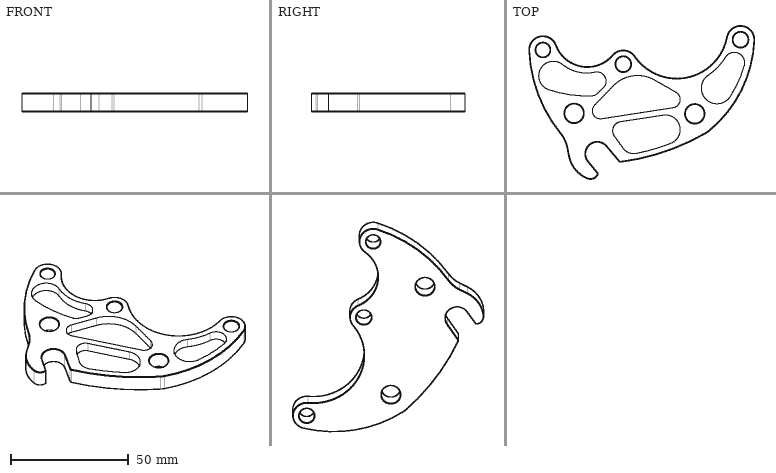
import cadquery as cq
import math

THICKNESS = 8.0
POCKET_DEPTH = 4.5
EDGE_CHAMFER = 0.3

HOLE_DIAMETER = 8.0
LEFT_HOLE = (0.0, 0.0)
RIGHT_HOLE = (51.3, -0.2)

LUG_RADIUS = 6.0
LEFT_LUG = (-13.25, 26.95)
MIDDLE_LUG = (20.9, 20.9)
RIGHT_LUG = (70.77, 31.3)
LEFT_LUG_HOLE_DIAMETER = 6.0
LUG_HOLE_DIAMETER = 6.4

LEFT_SCALLOP_RADIUS = 14.1
RIGHT_SCALLOP_RADIUS = 21.6
LEFT_EDGE_RADIUS = 60.0
RIGHT_EDGE_RADIUS = 52.7
BOTTOM_EDGE_RADIUS = 97.0
RIGHT_CORNER = (51.05, 0.15)
RIGHT_CORNER_RADIUS = 10.0
BOTTOM_CORNER = (19.8, -19.76)
BOTTOM_CORNER_RADIUS = 1.0

SLOT_CENTER = (9.85, -17.2)
SLOT_RADIUS = 4.95
NECK_CENTER = (-15.8, -17.0)
NECK_RADIUS = 13.0
HOOK_CENTER = (10.4, -15.75)
HOOK_RADIUS = 12.95
HOOK_TIP_RADIUS = 3.5
LIP_CENTER = (9.62, -25.75)
LIP_RADIUS = 0.6

SCALLOP_WALL = 2.35

SLOPE_DECIMALS = 9
SAME_POINT = 1e-6


def toward(point, angle, distance):
    """Point at a distance from another one, in the direction of an angle in radians."""
    return (point[0] + distance * math.cos(angle), point[1] + distance * math.sin(angle))


def direction(start, end):
    """Angle in radians of the direction from one point to another."""
    return math.atan2(end[1] - start[1], end[0] - start[0])


def linking_round(first, second, radius):
    """Round of a signed radius that runs tangent from one round into the next."""
    (start, start_radius), (end, end_radius) = first, second
    to_start = abs(radius - start_radius)
    to_end = abs(radius - end_radius)
    span = math.dist(start, end)
    cosine = (to_start**2 + span**2 - to_end**2) / (2 * to_start * span)
    side = math.copysign(1, radius - start_radius)
    return toward(start, direction(start, end) + side * math.acos(cosine), to_start), radius


def joining_points(first, second):
    """Ends of the straight line tangent to two rounds; they coincide where the rounds touch."""
    (start, start_radius), (end, end_radius) = first, second
    slope = (start_radius - end_radius) / math.dist(start, end)
    normal = direction(start, end) - math.acos(round(slope, SLOPE_DECIMALS))
    return toward(start, normal, start_radius), toward(end, normal, end_radius)


def smooth_outline(steps):
    """
    Closed counterclockwise outline of tangent arcs and lines.

    A step is a round (centre, radius), or a bare radius for an arc that links the rounds
    before and after it. The radius is negative where the outline is hollow.
    """
    rounds = []
    for index, step in enumerate(steps):
        if isinstance(step, tuple):
            rounds.append(step)
        else:
            rounds.append(linking_round(steps[index - 1], steps[(index + 1) % len(steps)], step))

    joints = [joining_points(rounds[index - 1], rounds[index]) for index in range(len(rounds))]
    outline = cq.Workplane("XY").moveTo(*joints[0][1])
    for index, (center, radius) in enumerate(rounds):
        arc_start = joints[index][1]
        arc_end, next_start = joints[(index + 1) % len(rounds)]
        start_angle = direction(center, arc_start)
        turn = math.copysign(1, radius)
        sweep = turn * ((turn * (direction(center, arc_end) - start_angle)) % math.tau)
        outline = outline.threePointArc(toward(center, start_angle + sweep / 2, abs(radius)), arc_end)
        if math.dist(arc_end, next_start) > SAME_POINT:
            outline = outline.lineTo(*next_start)
    return outline.close()


def plate():
    outline = smooth_outline([
        (LEFT_LUG, LUG_RADIUS),
        LEFT_EDGE_RADIUS,
        (NECK_CENTER, -NECK_RADIUS),
        (HOOK_CENTER, HOOK_RADIUS),
        HOOK_TIP_RADIUS,
        (LIP_CENTER, LIP_RADIUS),
        (SLOT_CENTER, -SLOT_RADIUS),
        (BOTTOM_CORNER, BOTTOM_CORNER_RADIUS),
        BOTTOM_EDGE_RADIUS,
        (RIGHT_CORNER, RIGHT_CORNER_RADIUS),
        RIGHT_EDGE_RADIUS,
        (RIGHT_LUG, LUG_RADIUS),
        -RIGHT_SCALLOP_RADIUS,
        (MIDDLE_LUG, LUG_RADIUS),
        -LEFT_SCALLOP_RADIUS,
    ])
    return outline.extrude(THICKNESS)


def drill_holes(body):
    holes = [
        (LEFT_HOLE, HOLE_DIAMETER),
        (RIGHT_HOLE, HOLE_DIAMETER),
        (LEFT_LUG, LEFT_LUG_HOLE_DIAMETER),
        (MIDDLE_LUG, LUG_HOLE_DIAMETER),
        (RIGHT_LUG, LUG_HOLE_DIAMETER),
    ]
    for center, diameter in holes:
        drill = cq.Workplane("XY").center(*center).circle(diameter / 2).extrude(THICKNESS)
        body = body.cut(drill)
    return body


def left_pocket():
    outer_end = ((-8.85, 15.95), 6.2)
    lower_corner = ((7.5, 10.85), 3.4)
    inner_corner = ((9.7, 13.7), 3.9)
    lower_side_radius = 50.0
    scallop_side_radius = -(LEFT_SCALLOP_RADIUS + SCALLOP_WALL)
    return smooth_outline([outer_end, lower_side_radius, lower_corner, inner_corner, scallop_side_radius])


def middle_pocket():
    top_round = ((27.0, 1.75), 14.35)
    left_corner = ((11.2, 1.1), 3.45)
    right_corner = ((41.55, 5.9), 3.55)
    return smooth_outline([top_round, left_corner, right_corner])


def lower_pocket():
    right_end = ((38.85, -6.95), 6.25)
    upper_left_corner = ((20.3, -7.4), 3.9)
    lower_left_corner = ((25.45, -11.35), 5.8)
    lower_side_radius = 95.0
    return smooth_outline([right_end, upper_left_corner, lower_left_corner, lower_side_radius])


def right_pocket():
    upper_end = ((68.1, 21.55), 4.4)
    lower_end = ((60.75, 10.7), 6.65)
    outer_side_radius = 47.0
    scallop_side_radius = -(RIGHT_SCALLOP_RADIUS + SCALLOP_WALL)
    return smooth_outline([upper_end, scallop_side_radius, lower_end, outer_side_radius])


def cut_pockets(body):
    for outline in (left_pocket(), middle_pocket(), lower_pocket(), right_pocket()):
        cutter = outline.extrude(POCKET_DEPTH).translate((0, 0, THICKNESS - POCKET_DEPTH))
        body = body.cut(cutter)
    return body


drilled_plate = drill_holes(plate())
chamfered_plate = drilled_plate.faces("|Z").edges().chamfer(EDGE_CHAMFER)
result = cut_pockets(chamfered_plate)